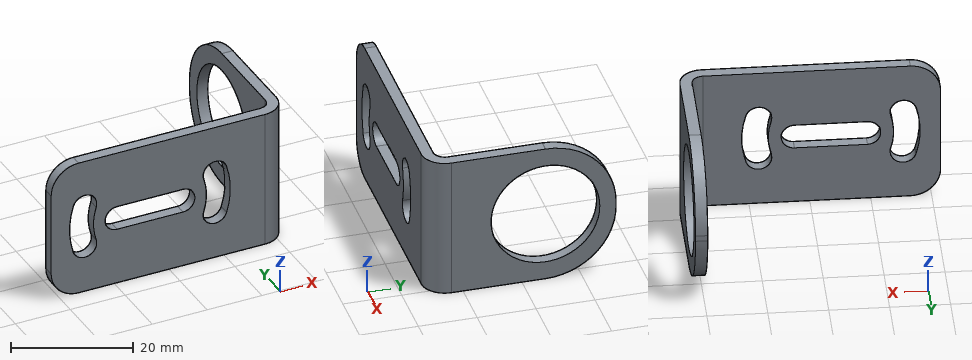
import cadquery as cq
import math

length = 43.0
depth = 32.0
height = 25.0
thickness = 2.0
bend_outer_radius = 4.0
bend_inner_radius = bend_outer_radius - thickness

slotted_plate_corner_radius = 5.0
ring_plate_corner_radius = 12.0

opening_diameter = 18.45
opening_y = depth - ring_plate_corner_radius

pattern_x = 18.0
slot_width = 4.35
straight_slot_length = 16.35
arc_slot_radius = 12.45
arc_slot_half_angle = 17.6

mid_z = height / 2


def make_bent_strip():
    """Constant-thickness L with a rounded bend, extruded upwards."""
    strip = (
        cq.Workplane("XY")
        .polyline([
            (0, 0),
            (length, 0),
            (length, depth),
            (length - thickness, depth),
            (length - thickness, thickness),
            (0, thickness),
        ])
        .close()
        .extrude(height)
    )
    outer_bend = cq.selectors.NearestToPointSelector((length, 0, mid_z))
    strip = strip.edges(outer_bend).fillet(bend_outer_radius)
    inner_bend = cq.selectors.NearestToPointSelector((length - thickness, thickness, mid_z))
    return strip.edges(inner_bend).fillet(bend_inner_radius)


def slot_plane():
    """Front face of the slotted plate, with the slot pattern centre as origin."""
    return cq.Workplane("XZ", origin=(pattern_x, 0, mid_z))


def make_arc_slot(middle_angle):
    """Round-ended slot that follows a circle about the pattern centre."""
    def polar(radius, angle):
        turn = math.radians(middle_angle + angle)
        return (radius * math.cos(turn), radius * math.sin(turn))

    inner_radius = arc_slot_radius - slot_width / 2
    outer_radius = arc_slot_radius + slot_width / 2
    half_angle = arc_slot_half_angle

    def cap_tip(end):
        """Tip of the round cap at one end of the slot (end is 1 or -1)."""
        center_x, center_z = polar(arc_slot_radius, end * half_angle)
        offset_x, offset_z = polar(slot_width / 2, end * (half_angle + 90))
        return (center_x + offset_x, center_z + offset_z)

    return (
        slot_plane()
        .moveTo(*polar(outer_radius, -half_angle))
        .threePointArc(polar(outer_radius, 0), polar(outer_radius, half_angle))
        .threePointArc(cap_tip(1), polar(inner_radius, half_angle))
        .threePointArc(polar(inner_radius, 0), polar(inner_radius, -half_angle))
        .threePointArc(cap_tip(-1), polar(outer_radius, -half_angle))
        .close()
        .extrude(-thickness)
    )


bracket = make_bent_strip()

bracket = bracket.faces("<X").edges("|Y").fillet(slotted_plate_corner_radius)
bracket = bracket.faces(">Y").edges("|X").fillet(ring_plate_corner_radius)

opening = (
    cq.Workplane("YZ", origin=(length - thickness, opening_y, mid_z))
    .circle(opening_diameter / 2)
    .extrude(thickness)
)
bracket = bracket.cut(opening)

straight_slot = slot_plane().slot2D(straight_slot_length, slot_width).extrude(-thickness)
bracket = bracket.cut(straight_slot)
for side_angle in (0, 180):
    bracket = bracket.cut(make_arc_slot(side_angle))

result = bracket